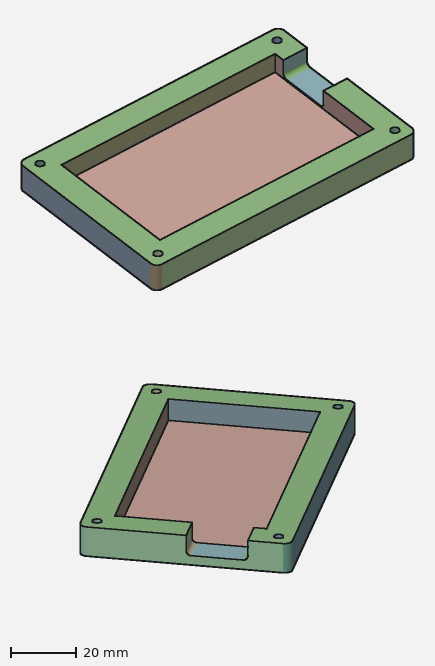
import cadquery as cq

width = 66.3
length = 103.8
height = 10.0
corner_radius = 2.5

rim_width = 9.4
pocket_depth = 7.3
floor_thickness = height - pocket_depth

hole_diameter = 2.9
hole_inset = 4.8

channel_left = -19.7
channel_width = 19.3
channel_step = 0.5
channel_fillet = 1.6
channel_floor = floor_thickness + channel_step


def make_plate():
    return (
        cq.Workplane("XY")
        .box(width, length, height, centered=(True, True, False))
        .edges("|Z")
        .fillet(corner_radius)
    )


def make_pocket():
    return (
        cq.Workplane("XY")
        .workplane(offset=floor_thickness)
        .box(width - 2 * rim_width, length - 2 * rim_width, pocket_depth, centered=(True, True, False))
    )


def make_channel():
    return (
        cq.Workplane("XY")
        .box(channel_width, rim_width, height - channel_floor, centered=False)
        .edges("|Y and <Z")
        .fillet(channel_fillet)
        .translate((channel_left, length / 2 - rim_width, channel_floor))
    )


def make_corner_holes():
    return (
        cq.Workplane("XY")
        .rect(width - 2 * hole_inset, length - 2 * hole_inset, forConstruction=True)
        .vertices()
        .circle(hole_diameter / 2)
        .extrude(height)
    )


result = make_plate().cut(make_pocket()).cut(make_channel()).cut(make_corner_holes())